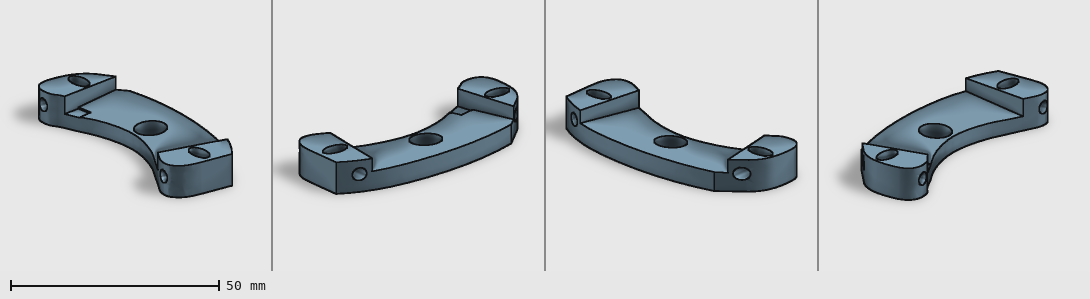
import cadquery as cq

block_height = 8.3
web_height = 3.7
pad_back_height = 5.2
pad_front_height = 3.8
back_y = 10.1
crown_y = -5.0
foot_y = -13.9
foot_x = 26.55
left_x = -30.6
right_x = 31.1
pad_foot_y = -10.5
center_hole_diameter = 8.0
fixing_centers_x = (-25.8, 26.05)
slot_y = -3.4
slot_half_length = 3.5
slot_half_width = 2.0
cross_hole_diameter = 3.3
cross_hole_z = 4.7
clearance = 37.0

bevel_top = (-20.6, 7.65)
bevel_bottom = (-26.3, 3.1)
right_corner = (right_x, 2.8)
right_curve_start = (right_x, -6.2)
left_foot = (-foot_x, foot_y)
right_foot = (foot_x, foot_y)

front_half = [(21.7, -12.3), (17.3, -10.1), (12.85, -7.9), (7.2, -6.0)]

left_wall = ((-23.2, 5.5), (-20.05, -11.65))
right_wall = ((23.0, 6.6), (20.4, -11.7))

notch_outer = (-21.0, -6.85)
notch_inner = (-16.7, -6.1)
notch_tip = (-16.0, -9.75)


def outline():
    """Arched plan outline, starting at the top of the left bevel."""
    front_left = [(-x, y) for x, y in reversed(front_half)]
    front_edge = front_half + [(0, crown_y)] + front_left + [left_foot]
    return (
        cq.Workplane("XY")
        .moveTo(*bevel_top)
        .spline(
            [(-9.55, 9.6), (0, back_y), (10.5, 9.5), (20.6, 7.6), right_corner],
            includeCurrent=True,
        )
        .lineTo(*right_curve_start)
        .spline(
            [(29.55, -12.35), right_foot],
            tangents=[(0, -1), (-1, 0)],
            includeCurrent=True,
        )
        .spline(
            front_edge,
            tangents=[(-1, 0), (-1, 0)],
            includeCurrent=True,
        )
        .spline(
            [(-29.55, -12.3), (left_x, -7.1), (-29.45, -0.75), bevel_bottom],
            includeCurrent=True,
        )
        .close()
    )


def point_on_line(wall, y):
    """Point at the given y on the line through both ends of a wall."""
    (x0, y0), (x1, y1) = wall
    return (x0 + (x1 - x0) * (y - y0) / (y1 - y0), y)


def channel():
    """Space between the block walls, over the full height."""
    corners = [
        point_on_line(left_wall, clearance),
        point_on_line(right_wall, clearance),
        point_on_line(right_wall, -clearance),
        point_on_line(left_wall, -clearance),
    ]
    return cq.Workplane("XY").polyline(corners).close().extrude(block_height)


def above_pad():
    """Everything above the pad, which falls towards the front but not below the web."""
    slope = (pad_back_height - pad_front_height) / (back_y - pad_foot_y)
    web_y = pad_foot_y - (pad_front_height - web_height) / slope
    clear_z = pad_back_height + slope * (clearance - back_y)
    profile = [
        (-clearance, web_height),
        (web_y, web_height),
        (clearance, clear_z),
        (clearance, block_height),
        (-clearance, block_height),
    ]
    return cq.Workplane("YZ").polyline(profile).close().extrude(clearance, both=True)


def pad_notch():
    corners = [
        notch_outer,
        notch_inner,
        notch_tip,
        point_on_line(left_wall, foot_y),
    ]
    return (
        cq.Workplane("XY", origin=(0, 0, web_height))
        .polyline(corners).close()
        .extrude(block_height - web_height)
        .intersect(channel())
    )


def fixing_holes():
    """Elliptical upright slots, each crossed by a round hole along Y."""
    centers = [(x, slot_y) for x in fixing_centers_x]
    slots = (
        cq.Workplane("XY").pushPoints(centers)
        .ellipse(slot_half_length, slot_half_width)
        .extrude(block_height)
    )
    cross_holes = (
        cq.Workplane("XZ")
        .pushPoints([(x, cross_hole_z) for x in fixing_centers_x])
        .circle(cross_hole_diameter / 2)
        .extrude(clearance, both=True)
    )
    return slots.union(cross_holes)


body = outline().extrude(block_height)
body = body.cut(channel().intersect(above_pad()))
body = body.cut(pad_notch())
center_hole = cq.Workplane("XY").circle(center_hole_diameter / 2).extrude(block_height)
result = body.cut(center_hole).cut(fixing_holes())